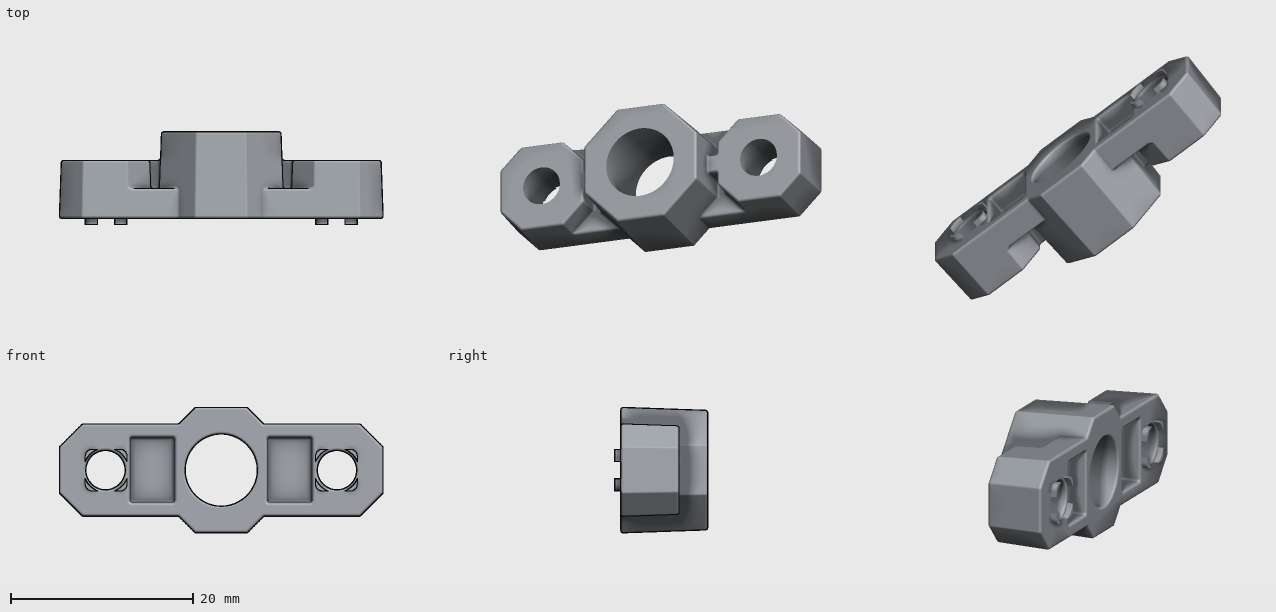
import cadquery as cq
import math

plate_depth = 3.3
pad_depth = 6.4
hub_depth = 9.55
draft_angle = 2.0
edge_radius = 0.3

hub_width = 13.8
hub_corner = hub_width / (2 + math.sqrt(2))
bore_diameter = 7.9

part_length = 35.56
pad_spacing = 25.4
pad_width = part_length - pad_spacing
pad_corner = 2.54
screw_hole_diameter = 4.3
hole_rim_radius = 0.28

rib_width = 2.4

pocket_inner_x = 5.05
pocket_outer_x = 10.02
pocket_height = 7.25
pocket_depth = 2.15

pin_height = 0.66
pin_square = 4.58
pin_corner_radius = 0.75
pin_inner_diameter = 4.94
pin_spacing = 25.27

SIDES = (-1, 1)


def front_sketch(center_x=0.0):
    """Workplane on the front face; its local axes are X and Z."""
    return cq.Workplane("XZ", origin=(center_x, 0, 0))


def clipped_square_block(center_x, width, corner, depth):
    """Drafted block whose square outline has its four corners cut at 45 degrees."""
    half = width / 2
    flat = half - corner
    outline = [
        (half, -flat),
        (half, flat),
        (flat, half),
        (-flat, half),
        (-half, flat),
        (-half, -flat),
        (-flat, -half),
        (flat, -half),
    ]
    return front_sketch(center_x).polyline(outline).close().extrude(-depth, taper=draft_angle)


def drafted_bar(length, height, depth):
    """Drafted rectangular bar along X, centred on the hub."""
    return front_sketch().rect(length, height).extrude(-depth, taper=draft_angle)


def make_outer_body():
    """Hub, pads, ribs and the plate joining them, with every edge rounded."""
    body = clipped_square_block(0, hub_width, hub_corner, hub_depth)
    body = body.union(drafted_bar(pad_spacing, pad_width, plate_depth))
    body = body.union(drafted_bar(pad_spacing, rib_width, pad_depth))
    for side in SIDES:
        pad_x = side * pad_spacing / 2
        body = body.union(clipped_square_block(pad_x, pad_width, pad_corner, pad_depth))
    return body.clean().edges().fillet(edge_radius)


def make_pocket(side):
    """Drafted pocket with rounded corners and floor edges, as a cutter."""
    center_x = side * (pocket_inner_x + pocket_outer_x) / 2
    width = pocket_outer_x - pocket_inner_x
    cutter = front_sketch(center_x).rect(width, pocket_height).extrude(-pocket_depth, taper=draft_angle)
    return cutter.edges("not <Y").fillet(edge_radius)


def make_hole(center_x, diameter):
    """Through hole along Y that flares at the front in a convex rounded rim, as a cutter."""
    radius = diameter / 2
    rim_radius = radius + hole_rim_radius
    arc_offset = hole_rim_radius * (1 - math.sqrt(0.5))
    profile = (
        cq.Workplane("YZ", origin=(center_x, 0, 0))
        .lineTo(0, -rim_radius)
        .threePointArc((arc_offset, -radius - arc_offset), (hole_rim_radius, -radius))
        .lineTo(hub_depth, -radius)
        .lineTo(hub_depth, 0)
        .close()
    )
    return profile.revolve(360, (0, 0, 0), (1, 0, 0))


def cut_pocket(body, side):
    """Front pocket with its mouth rounded."""
    body = body.cut(make_pocket(side))
    center_x = side * (pocket_inner_x + pocket_outer_x) / 2
    reach_x = (pocket_outer_x - pocket_inner_x) / 2 + edge_radius / 4
    reach_z = pocket_height / 2 + edge_radius / 4
    mouth = cq.selectors.BoxSelector(
        (center_x - reach_x, -edge_radius / 4, -reach_z),
        (center_x + reach_x, edge_radius / 4, reach_z),
        boundingbox=True,
    )
    return body.edges(mouth).fillet(edge_radius)


def make_pins(center_x):
    """Four corner pins standing on the front face around a screw hole."""
    square = front_sketch(center_x).rect(pin_square, pin_square).extrude(pin_height)
    square = square.edges("|Y").fillet(pin_corner_radius)
    core = front_sketch(center_x).circle(pin_inner_diameter / 2).extrude(pin_height)
    return square.cut(core)


body = make_outer_body()
body = body.cut(make_hole(0, bore_diameter))
for side in SIDES:
    body = cut_pocket(body, side)
    body = body.cut(make_hole(side * pad_spacing / 2, screw_hole_diameter))
    body = body.union(make_pins(side * pin_spacing / 2))

result = body